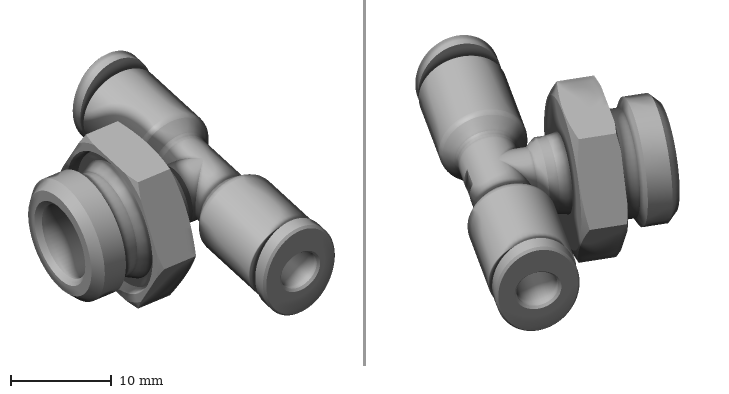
import cadquery as cq
import math


half_length = 17.1
waist_radius = 3.1
arm_radius = 4.5
waist_end = 3.97
shoulder_start = 5.75
shoulder_blend = 1.0
arm_end = 14.7
arm_edge_round = 0.1
neck_radius = 2.77

ring_thickness = 1.6
ring_half_height = 5.4
ring_half_width = 4.3
ring_chamfer = 0.25
ring_inner_face = half_length - ring_thickness

tube_radius = 2.15
tube_lead_in = 0.25
tube_depth = 6.85

notch_width = 2.33
notch_depth = 0.3

stem_cone_start = 3.42
stem_radius = 3.95
stem_cone_end = 4.38
stem_taper_start = 5.4
stem_collar_radius = 4.17

nut_back = 6.67
nut_front = 11.3
nut_across_flats = 16.0
nut_corner_radius = nut_across_flats / 2 / math.cos(math.radians(30))
nut_chamfer_angle = math.radians(20)
nut_back_face_radius = 7.83
nut_front_face_radius = 8.48

recess_radius = 7.6
recess_floor_radius = 7.2
recess_depth = 1.0

groove_radius = 5.57
groove_root_radius = 6.3
groove_start = 11.75
groove_end = 13.25
thread_start = 13.78
thread_radius = 6.55
overall_depth = 21.8
thread_end = overall_depth - arm_radius
thread_chamfer = 0.95

bore_mouth_radius = 4.5
bore_radius = 3.97
bore_lead_in = bore_mouth_radius - bore_radius
bore_depth = 4.38
drill_tip_angle = math.radians(30)
drill_tip_depth = bore_radius * math.tan(drill_tip_angle)


def branch_turned(points):
    """Revolve a closed (radius, distance) outline about the branch axis."""
    outline = [(radius, -distance) for radius, distance in points]
    return cq.Workplane("XY").polyline(outline).close().revolve(360, (0, 0, 0), (0, 1, 0))


def arm_turned(points):
    """Revolve a closed (distance, radius) outline about the arm axis."""
    return cq.Workplane("XY").polyline(points).close().revolve(360, (0, 0, 0), (1, 0, 0))


def make_arm_body():
    """Both arms and the waist between them, as one turned body."""
    half_outline = [
        (waist_end, waist_radius),
        (shoulder_start, arm_radius),
        (arm_end, arm_radius),
        (arm_end, 0),
    ]
    mirrored_outline = [(-distance, radius) for distance, radius in reversed(half_outline)]
    body = arm_turned(mirrored_outline + half_outline)
    body = body.faces("%CONE").edges("%CIRCLE").fillet(shoulder_blend)
    return body.faces("<X or >X").edges().fillet(arm_edge_round)


def make_release_ring():
    """Oval release ring of the +X arm with the neck that carries it."""
    neck = (
        cq.Workplane("YZ")
        .workplane(offset=arm_end)
        .circle(neck_radius)
        .extrude(ring_inner_face - arm_end)
    )
    ring = (
        cq.Workplane("YZ")
        .workplane(offset=ring_inner_face)
        .ellipse(ring_half_width, ring_half_height)
        .extrude(ring_thickness)
        .faces(">X")
        .chamfer(ring_chamfer)
    )
    return neck.union(ring)


def make_tube_socket():
    """Blind hole for the tube in the +X arm."""
    bottom = half_length - tube_depth
    return arm_turned([
        (half_length, 0),
        (half_length, tube_radius + tube_lead_in),
        (half_length - tube_lead_in, tube_radius),
        (bottom, tube_radius),
        (bottom, 0),
    ])


def make_stem():
    """Stem between the tee and the nut; its tip is mitred into the arms."""
    stem = branch_turned([
        (0, 0),
        (waist_radius, 0),
        (waist_radius, stem_cone_start),
        (stem_radius, stem_cone_end),
        (stem_radius, stem_taper_start),
        (stem_collar_radius, nut_back),
        (0, nut_back),
    ])
    mitre = (
        cq.Workplane("XY")
        .polyline([(0, 0), (nut_back, -nut_back), (-nut_back, -nut_back)])
        .close()
        .extrude(stem_collar_radius, both=True)
    )
    return stem.intersect(mitre)


def make_nut():
    """Hexagon with both faces chamfered and a recess in the front face."""
    hexagon = (
        cq.Workplane("XZ")
        .workplane(offset=nut_back)
        .polygon(6, 2 * nut_corner_radius)
        .extrude(nut_front - nut_back)
    )
    slope = math.tan(nut_chamfer_angle)
    back_drop = (nut_corner_radius - nut_back_face_radius) * slope
    front_drop = (nut_corner_radius - nut_front_face_radius) * slope
    chamfer_envelope = branch_turned([
        (0, nut_back),
        (nut_back_face_radius, nut_back),
        (nut_corner_radius, nut_back + back_drop),
        (nut_corner_radius, nut_front - front_drop),
        (nut_front_face_radius, nut_front),
        (0, nut_front),
    ])
    recess = branch_turned([
        (0, nut_front),
        (recess_radius, nut_front),
        (recess_floor_radius, nut_front - recess_depth),
        (0, nut_front - recess_depth),
    ])
    return hexagon.intersect(chamfer_envelope).cut(recess)


def make_threaded_end():
    """Groove and plain thread cylinder in front of the nut."""
    root = nut_front - recess_depth
    return branch_turned([
        (0, root),
        (groove_root_radius, root),
        (groove_radius, groove_start),
        (groove_radius, groove_end),
        (thread_radius, thread_start),
        (thread_radius, thread_end - thread_chamfer),
        (thread_radius - thread_chamfer, thread_end),
        (0, thread_end),
    ])


def make_bore():
    """Blind bore with a lead-in and a conical drill tip."""
    bottom = thread_end - bore_depth
    return branch_turned([
        (0, thread_end),
        (bore_mouth_radius, thread_end),
        (bore_radius, thread_end - bore_lead_in),
        (bore_radius, bottom),
        (0, bottom - drill_tip_depth),
    ])


def make_notch():
    """Flat notch cut straight along Z through the back of the waist."""
    block = cq.Workplane("XY").box(
        notch_width, notch_depth, 2 * waist_radius, centered=(True, False, True)
    )
    return block.translate((0, waist_radius - notch_depth, 0))


release_ring = make_release_ring()
tube_socket = make_tube_socket()

result = (
    make_arm_body()
    .union(release_ring)
    .union(release_ring.mirror("YZ"))
    .union(make_stem())
    .union(make_nut())
    .union(make_threaded_end())
    .cut(tube_socket)
    .cut(tube_socket.mirror("YZ"))
    .cut(make_bore())
    .cut(make_notch())
)